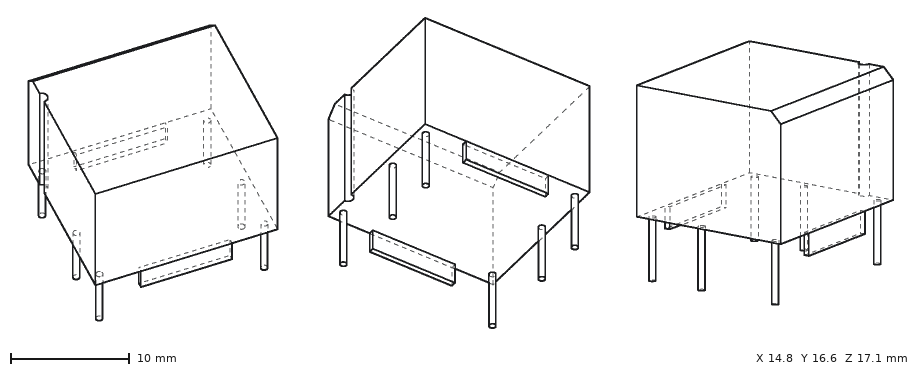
import cadquery as cq

HOUSING_X = 14.8
HOUSING_Y = 16.6
TOTAL_HEIGHT = 17.1
PIN_LENGTH = 5.6
HOUSING_Z = TOTAL_HEIGHT - PIN_LENGTH
TOP_CHAMFER = 1.0

GROOVE_RADIUS = 0.5
GROOVE_FROM_LEFT = 3.0

TAB_THICKNESS = 0.5
TAB_LENGTH = 8.3
TAB_HEIGHT = 2.0

PIN_DIAMETER = 0.6
PIN_COLUMNS_FROM_LEFT = (1.11, 8.67, 13.71)
PIN_ROW_INSET = 0.79

LEFT = -HOUSING_X / 2
FRONT = -HOUSING_Y / 2


def make_housing():
    """Block with a chamfered upper -X edge and an index groove."""
    block = cq.Workplane("XY").box(
        HOUSING_X, HOUSING_Y, HOUSING_Z, centered=(True, True, False)
    )
    block = block.edges("<X and >Z").chamfer(TOP_CHAMFER)
    groove = (
        cq.Workplane("XY")
        .center(LEFT + GROOVE_FROM_LEFT, FRONT)
        .circle(GROOVE_RADIUS)
        .extrude(HOUSING_Z)
    )
    return block.cut(groove)


def make_tab(side):
    """Standoff flush with the housing side: -1 for -X, +1 for +X."""
    x = side * (HOUSING_X - TAB_THICKNESS) / 2
    return cq.Workplane("XY").center(x, 0).rect(TAB_THICKNESS, TAB_LENGTH).extrude(-TAB_HEIGHT)


def make_pin(x, y):
    """Straight round pin hanging from the housing underside."""
    return cq.Workplane("XY").center(x, y).circle(PIN_DIAMETER / 2).extrude(-PIN_LENGTH)


housing = make_housing()

tabs = [make_tab(side) for side in (-1, 1)]

pin_row_y = HOUSING_Y / 2 - PIN_ROW_INSET
pins = [
    make_pin(LEFT + column, row)
    for column in PIN_COLUMNS_FROM_LEFT
    for row in (-pin_row_y, pin_row_y)
]

result = cq.Compound.makeCompound(
    [housing.val(), *[tab.val() for tab in tabs], *[pin.val() for pin in pins]]
)